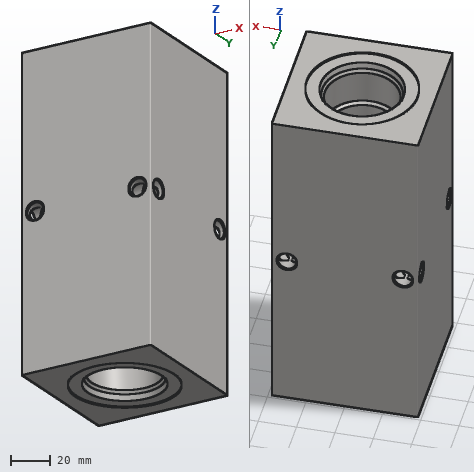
import cadquery as cq

length = 177.8
width = 76.3
edge_radius = 0.5

bore_diameter = 34.8
spotface_diameter = 57.8
spotface_depth = 0.7
mouth_diameter = 43.4
taper_end_diameter = 41.5
port_diameter = 39.0

taper_depth = 3.2
chamfer_depth = 5.0
port_depth = 23.1
port_floor_depth = 24.4

hole_diameter = 9.6
hole_offset = 30.2
hole_chamfer = 0.5


def make_block():
    block = cq.Workplane("XY").box(width, width, length)
    return block.edges("|Z").fillet(edge_radius)


def make_port():
    """Cutter for the top port: spotface, taper, lead-in cone, bore and conical floor."""
    top = length / 2
    seat = top - spotface_depth
    profile = [
        (0, top),
        (spotface_diameter / 2, top),
        (spotface_diameter / 2, seat),
        (mouth_diameter / 2, seat),
        (taper_end_diameter / 2, seat - taper_depth),
        (port_diameter / 2, seat - chamfer_depth),
        (port_diameter / 2, seat - port_depth),
        (bore_diameter / 2, seat - port_floor_depth),
        (0, seat - port_floor_depth),
    ]
    return cq.Workplane("XZ").polyline(profile).close().revolve(360, (0, 0), (0, 1))


def make_mounting_hole():
    """Revolved pin crossing the whole block along Y, flared at both faces."""
    face = width / 2
    radius = hole_diameter / 2
    mouth_radius = radius + hole_chamfer
    profile = [
        (0, -face),
        (mouth_radius, -face),
        (radius, -face + hole_chamfer),
        (radius, face - hole_chamfer),
        (mouth_radius, face),
        (0, face),
    ]
    return cq.Workplane("XY").polyline(profile).close().revolve(360, (0, 0), (0, 1))


bore = cq.Workplane("XY").circle(bore_diameter / 2).extrude(length, both=True)
top_port = make_port()
bottom_port = top_port.mirror("XY")

result = make_block().cut(bore).cut(top_port).cut(bottom_port)
for offset in (-hole_offset, hole_offset):
    hole_along_y = make_mounting_hole().translate((offset, 0, 0))
    hole_along_x = hole_along_y.rotate((0, 0, 0), (0, 0, 1), 90)
    result = result.cut(hole_along_y).cut(hole_along_x)